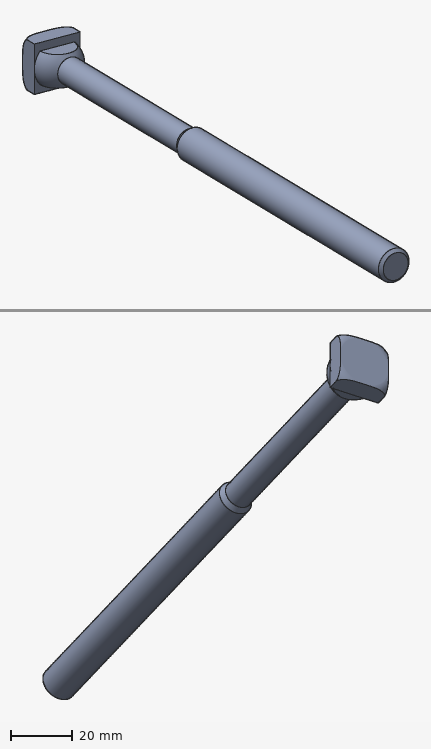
import cadquery as cq

length = 207.0
head_width = 18.0
head_thickness = 7.0
corner_round = 4.0
thread_diameter = 12.0
thread_length = 120.0
shank_diameter = 9.7
shoulder_length = 2.0
neck_width = thread_diameter

head_radius = head_width / 2
thread_radius = thread_diameter / 2
shank_radius = shank_diameter / 2
tip_chamfer = thread_radius - shank_radius
thread_start = length - thread_length


def make_head():
    """Square block whose outer corners are rolled back by a round-edged disc."""
    block = cq.Workplane("YZ").rect(head_width, head_width).extrude(head_thickness)
    disc = (
        cq.Workplane("YZ")
        .circle(head_radius + corner_round)
        .extrude(head_thickness)
        .faces("<X")
        .edges()
        .fillet(corner_round)
    )
    return block.intersect(disc)


def make_neck():
    """Half ball on the back of the head, flattened above and below."""
    ball = cq.Workplane("XY").sphere(head_radius).translate((head_thickness, 0, 0))
    slab = (
        cq.Workplane("XY")
        .box(head_radius, head_width, neck_width, centered=(False, True, True))
        .translate((head_thickness, 0, 0))
    )
    return ball.intersect(slab)


def make_shaft():
    """Plain shank, conical shoulder and thicker threaded length with a chamfered tip."""
    return (
        cq.Workplane("XY")
        .moveTo(head_thickness, 0)
        .lineTo(head_thickness, shank_radius)
        .lineTo(thread_start - shoulder_length, shank_radius)
        .lineTo(thread_start, thread_radius)
        .lineTo(length - tip_chamfer, thread_radius)
        .lineTo(length, thread_radius - tip_chamfer)
        .lineTo(length, 0)
        .close()
        .revolve(360, (0, 0, 0), (1, 0, 0))
    )


bolt = make_head().union(make_neck()).union(make_shaft())
result = bolt.translate((-length / 2, 0, 0))